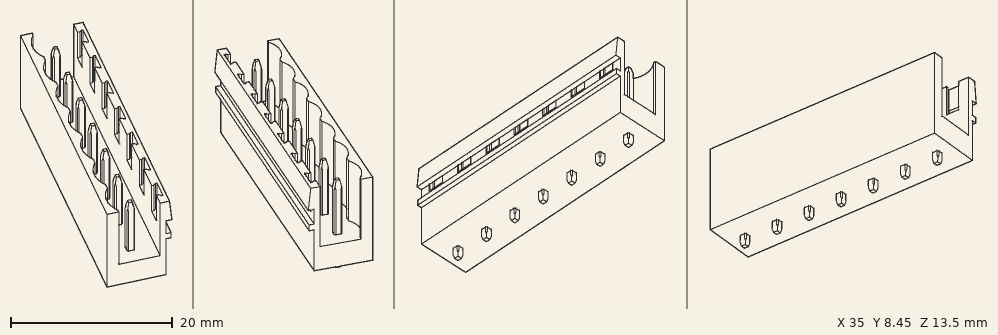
import cadquery as cq

pin_count = 7
length = 35.0
pitch = length / pin_count
pin_xs = [pitch * (i + 0.5) for i in range(pin_count)]

height = 12.0
overall_height = 13.5
overall_depth = 8.45
depth = 7.65
front_wall = 1.55
rear_wall = 0.77
floor_height = 3.35
channel_rear = depth - rear_wall

latch_reach = overall_depth - depth
latch_slope = 0.3
latch_height = 3.15

rib_reach = 0.65
rib_thickness = 0.85
rib_bottom = 5.9

scallop_width = 4.27
scallop_depth = 0.77

slot_depth = 4.2
slot_mouth = 1.9
slot_back = 2.35
slot_neck = 0.3
slot_taper = 0.25

pin_width = 1.0
pin_chamfer = 0.18
pin_y = 3.78
pin_recess = 0.95
pin_top = height - pin_recess
pin_bottom = height - overall_height
top_taper = 1.25
top_tip = 0.45
bottom_taper = 0.88
bottom_tip = 0.6


def make_shell():
    """U-shaped channel with the latch bar and rib, extruded along X."""
    latch_bottom = height - latch_height
    rib_top = rib_bottom + rib_thickness
    profile = [
        (0, 0),
        (depth, 0),
        (depth, rib_bottom),
        (depth + rib_reach, rib_bottom),
        (depth + rib_reach, rib_top),
        (depth, rib_top),
        (depth, latch_bottom),
        (depth + latch_reach, latch_bottom),
        (depth + latch_reach - latch_slope, height),
        (channel_rear, height),
        (channel_rear, floor_height),
        (front_wall, floor_height),
        (front_wall, height),
        (0, height),
    ]
    return cq.Workplane("YZ").polyline(profile).close().extrude(length)


def make_scallop(x):
    """Cutter for a shallow arc hollow running from the channel floor to the top."""
    half = scallop_width / 2
    return (
        cq.Workplane("XY", origin=(x, front_wall, floor_height))
        .moveTo(-half, 0)
        .threePointArc((0, -scallop_depth), (half, 0))
        .close()
        .extrude(height - floor_height)
    )


def make_keying_slot(x):
    """Cutter for a dovetail slot through the rear wall, closed behind by the latch."""
    mouth = slot_mouth / 2
    back = slot_back / 2
    taper_end = slot_neck + slot_taper
    outline = [
        (-mouth, 0),
        (-mouth, slot_neck),
        (-back, taper_end),
        (-back, rear_wall),
        (back, rear_wall),
        (back, taper_end),
        (mouth, slot_neck),
        (mouth, 0),
    ]
    return (
        cq.Workplane("XY", origin=(x, channel_rear, height - slot_depth))
        .polyline(outline)
        .close()
        .extrude(slot_depth)
    )


def make_taper(base_z, base_width, tip_z, tip_width):
    """Square frustum on the pin axis, centred on X = 0."""
    return (
        cq.Workplane("XY", origin=(0, pin_y, base_z))
        .rect(base_width, base_width)
        .workplane(offset=tip_z - base_z)
        .rect(tip_width, tip_width)
        .loft(ruled=True)
    )


def make_pin(x):
    """Square pin with chamfered long edges and a tapered point at each end."""
    shank_bottom = pin_bottom + bottom_taper
    shank_top = pin_top - top_taper
    envelope = (
        cq.Workplane("XY", origin=(0, pin_y, shank_bottom))
        .rect(pin_width, pin_width)
        .extrude(shank_top - shank_bottom)
        .union(make_taper(shank_top, pin_width, pin_top, top_tip))
        .union(make_taper(shank_bottom, pin_width, pin_bottom, bottom_tip))
    )
    chamfered_bar = (
        cq.Workplane("XY", origin=(0, pin_y, pin_bottom))
        .rect(pin_width, pin_width)
        .extrude(pin_top - pin_bottom)
        .edges("|Z")
        .chamfer(pin_chamfer)
    )
    return chamfered_bar.intersect(envelope).translate((x, 0, 0))


pins = [make_pin(x) for x in pin_xs]

housing = make_shell()
for x in pin_xs:
    housing = housing.cut(make_scallop(x)).cut(make_keying_slot(x))
for pin in pins:
    housing = housing.cut(pin)

result = cq.Compound.makeCompound([housing.val(), *[pin.val() for pin in pins]])